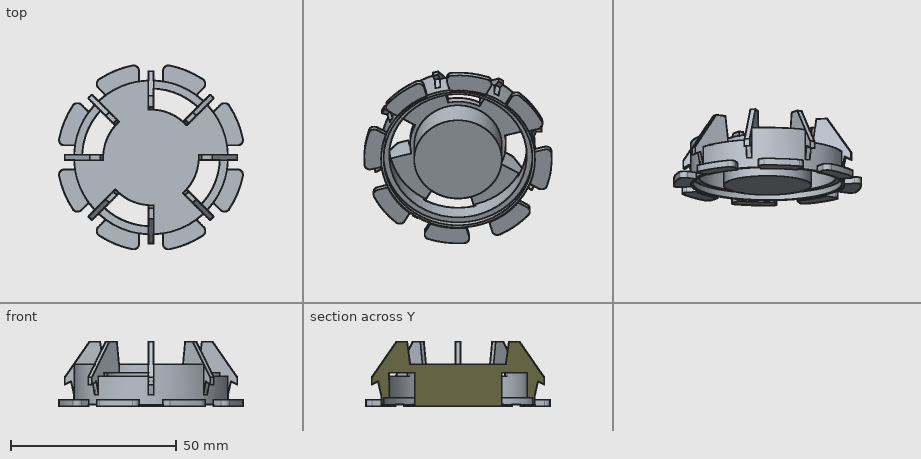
import cadquery as cq
import math

ring_outer_radius = 23.3
ring_inner_radius = 20.8
ring_bottom_z = 0.5
skirt_inner_radius = 22.5
skirt_top_z = 2.5
plate_bottom_z = 10.1
plate_top_z = 12.75
core_radius = 14.5
boss_radius = 13.25

sector_count = 8
sector_angle = 360 / sector_count
window_floor_z = 9.1
first_window_angle = sector_angle
window_overshoot = 1.0

tab_outer_radius = 28.38
tab_height = 2.0
tab_gap = 7.2
tab_corner_radius = 1.7

fin_thickness = 1.6
fin_top_z = 19.58
fin_root_radius = 14.45
fin_top_inner_radius = 15.35
fin_top_outer_radius = 18.6
fin_tip_radius = 26.1
fin_tip_top_z = 8.75
fin_tip_bottom_z = 6.55
barb_radius = 24.2
barb_z = 7.5
fin_foot_z = 3.5


def cylinder(radius, bottom_z, top_z):
    return cq.Workplane("XY").workplane(offset=bottom_z).circle(radius).extrude(top_z - bottom_z)


def polar(radius, angle):
    return radius * math.cos(math.radians(angle)), radius * math.sin(math.radians(angle))


def sector(inner_radius, outer_radius, bottom_z, top_z):
    """Annular sector from the +X axis to one sector angle."""
    half_angle = sector_angle / 2
    return (
        cq.Workplane("XY")
        .workplane(offset=bottom_z)
        .moveTo(inner_radius, 0)
        .lineTo(outer_radius, 0)
        .threePointArc(polar(outer_radius, half_angle), polar(outer_radius, sector_angle))
        .lineTo(*polar(inner_radius, sector_angle))
        .threePointArc(polar(inner_radius, half_angle), (inner_radius, 0))
        .close()
        .extrude(top_z - bottom_z)
    )


def turned(shape, angle):
    return shape.rotate((0, 0, 0), (0, 0, 1), angle)


def make_body():
    rim = cylinder(ring_outer_radius, ring_bottom_z, plate_top_z)
    hollow = cylinder(ring_inner_radius, ring_bottom_z, plate_bottom_z)
    skirt_recess = cylinder(skirt_inner_radius, ring_bottom_z, skirt_top_z)
    boss = cylinder(boss_radius, 0, plate_bottom_z)
    body = rim.cut(hollow).cut(skirt_recess).union(boss)
    window = sector(core_radius, ring_outer_radius + window_overshoot, window_floor_z, plate_top_z)
    for index in range(sector_count // 2):
        body = body.cut(turned(window, first_window_angle + 2 * index * sector_angle))
    return body


def tab_corner(radius, side):
    """Point where a tab side, parallel to the nearby fin, meets the given radius."""
    gap_angle = math.degrees(math.asin(tab_gap / 2 / radius))
    return polar(radius, side * (sector_angle / 2 - gap_angle))


def make_tab():
    """Tab centred on the +X axis, with sides parallel to the two nearest sector boundaries."""
    return (
        cq.Workplane("XY")
        .moveTo(*tab_corner(ring_outer_radius, -1))
        .lineTo(*tab_corner(tab_outer_radius, -1))
        .threePointArc((tab_outer_radius, 0), tab_corner(tab_outer_radius, 1))
        .lineTo(*tab_corner(ring_outer_radius, 1))
        .threePointArc((ring_outer_radius, 0), tab_corner(ring_outer_radius, -1))
        .close()
        .extrude(tab_height)
        .edges("|Z and (>Y or <Y)")
        .fillet(tab_corner_radius)
    )


def make_fin():
    """Fin along the +X axis, hooked over the rim with a barb under its tip."""
    outline = [
        (fin_root_radius, plate_bottom_z),
        (fin_root_radius, plate_top_z),
        (fin_top_inner_radius, fin_top_z),
        (fin_top_outer_radius, fin_top_z),
        (fin_tip_radius, fin_tip_top_z),
        (fin_tip_radius, fin_tip_bottom_z),
        (barb_radius, barb_z),
        (ring_outer_radius, fin_foot_z),
        (ring_inner_radius, fin_foot_z),
        (ring_inner_radius, plate_bottom_z),
    ]
    return cq.Workplane("XZ").polyline(outline).close().extrude(fin_thickness / 2, both=True)


result = make_body()
tab = make_tab()
fin = make_fin()
for index in range(sector_count):
    result = result.union(turned(tab, (index + 0.5) * sector_angle))
    result = result.union(turned(fin, index * sector_angle))